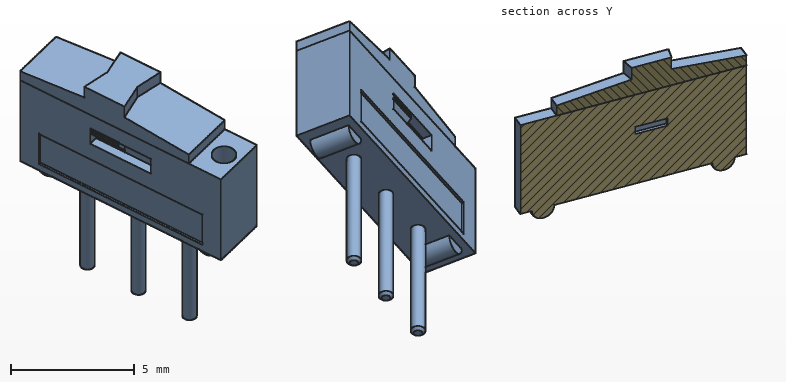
import cadquery as cq

LENGTH = 10.0
THICKNESS = 2.5
HOUSING_HEIGHT = 4.5
TOTAL_HEIGHT = 11.4

PIN_DIAMETER = 0.6
PIN_PITCH = 2.54
PIN_COUNT = 3
PIN_LENGTH = 5.5
PIN_CHAMFER = 0.13

FOOT_RADIUS = 0.5
FOOT_WIDTH = 1.8
FOOT_OFFSET = 3.99

HOLE_DIAMETER = 1.0
HOLE_DEPTH = 1.0
HOLE_X = 4.25

PANEL_LENGTH = 8.15
PANEL_HEIGHT = 1.68
PANEL_BOTTOM = 0.35
PANEL_DEPTH = 0.1

WINDOW_LENGTH = 3.02
WINDOW_HEIGHT = 0.82
WINDOW_DROP = 0.79
WINDOW_DEPTH = 0.41

NOSE_LENGTH = 1.42
NOSE_TOP_DEPTH = 0.05
NOSE_FACE_TOP_DROP = 0.1
NOSE_FACE_BOTTOM_DROP = 0.22
NOSE_LIP_DEPTH = 0.02
NOSE_LIP_DROP = 0.28

RECESS_DEPTH = 0.68
RECESS_ROOF_DROP = 1.01
RECESS_DROP = 1.2

SLIDER_LENGTH = 8.4
SLIDER_END_HEIGHT = 0.5
SLIDER_RIDGE_HEIGHT = 0.9
SLIDER_HEIGHT = TOTAL_HEIGHT - PIN_LENGTH - HOUSING_HEIGHT
KNOB_LENGTH = 2.0
KNOB_NOTCH = 0.25

FRONT_Y = -THICKNESS / 2
WINDOW_TOP = HOUSING_HEIGHT - WINDOW_DROP
SLIDER_LEFT = -LENGTH / 2
SLIDER_CENTER = SLIDER_LEFT + SLIDER_LENGTH / 2


def front_pocket(length, height, depth, bottom):
    """Box cut into the front face, centred along X."""
    return (
        cq.Workplane("XY")
        .box(length, depth, height, centered=(True, False, False))
        .translate((0, FRONT_Y, bottom))
    )


def make_foot(x):
    """Half-round foot with its axis along Y in the plane of the underside."""
    return (
        cq.Workplane("XZ")
        .moveTo(x - FOOT_RADIUS, 0)
        .threePointArc((x, -FOOT_RADIUS), (x + FOOT_RADIUS, 0))
        .close()
        .extrude(FOOT_WIDTH / 2, both=True)
    )


def make_pin(x):
    """Round pin hanging from the underside, chamfered at its tip."""
    return (
        cq.Workplane("XY")
        .center(x, 0)
        .circle(PIN_DIAMETER / 2)
        .extrude(-PIN_LENGTH)
        .faces("<Z")
        .chamfer(PIN_CHAMFER)
    )


def window_profile(points):
    """Prism along the nose from (depth, drop) points measured at the top front edge of the window."""
    return (
        cq.Workplane("YZ", origin=(-WINDOW_LENGTH / 2, 0, 0))
        .polyline([(FRONT_Y + depth, WINDOW_TOP - drop) for depth, drop in points])
        .close()
        .extrude(NOSE_LENGTH)
    )


def make_nose():
    """Snub nose reaching out to the front face, open underneath to the recess."""
    return window_profile([
        (RECESS_DEPTH, 0),
        (NOSE_TOP_DEPTH, 0),
        (0, NOSE_FACE_TOP_DROP),
        (0, NOSE_FACE_BOTTOM_DROP),
        (NOSE_LIP_DEPTH, NOSE_LIP_DROP),
        (RECESS_DEPTH, RECESS_ROOF_DROP),
    ])


def make_recess():
    """Recess below the nose that dips behind the window sill."""
    return window_profile([
        (NOSE_LIP_DEPTH, NOSE_LIP_DROP),
        (RECESS_DEPTH, RECESS_ROOF_DROP),
        (RECESS_DEPTH, RECESS_DROP),
        (WINDOW_DEPTH, RECESS_DROP),
        (WINDOW_DEPTH, WINDOW_HEIGHT),
        (NOSE_LIP_DEPTH, WINDOW_HEIGHT),
    ])


def make_housing():
    """Housing block with its pockets, hole, feet and pins as one solid."""
    housing = cq.Workplane("XY").box(LENGTH, THICKNESS, HOUSING_HEIGHT, centered=(True, True, False))
    housing = housing.cut(front_pocket(PANEL_LENGTH, PANEL_HEIGHT, PANEL_DEPTH, PANEL_BOTTOM))
    housing = housing.cut(front_pocket(WINDOW_LENGTH, WINDOW_HEIGHT, WINDOW_DEPTH, WINDOW_TOP - WINDOW_HEIGHT))
    housing = housing.union(make_nose()).cut(make_recess())

    hole = (
        cq.Workplane("XY", origin=(HOLE_X, 0, HOUSING_HEIGHT))
        .circle(HOLE_DIAMETER / 2)
        .extrude(-HOLE_DEPTH)
    )
    housing = housing.cut(hole)

    for x in (-FOOT_OFFSET, FOOT_OFFSET):
        housing = housing.union(make_foot(x))
    for index in range(PIN_COUNT):
        housing = housing.union(make_pin((index - (PIN_COUNT - 1) / 2) * PIN_PITCH))
    return housing


def make_slider():
    """Slider with a gabled top and a thumb knob notched in a V at both ends."""
    body = (
        cq.Workplane("XZ")
        .moveTo(SLIDER_LEFT, HOUSING_HEIGHT)
        .lineTo(SLIDER_LEFT + SLIDER_LENGTH, HOUSING_HEIGHT)
        .lineTo(SLIDER_LEFT + SLIDER_LENGTH, HOUSING_HEIGHT + SLIDER_END_HEIGHT)
        .lineTo(SLIDER_CENTER, HOUSING_HEIGHT + SLIDER_RIDGE_HEIGHT)
        .lineTo(SLIDER_LEFT, HOUSING_HEIGHT + SLIDER_END_HEIGHT)
        .close()
        .extrude(THICKNESS / 2, both=True)
    )
    half_knob = KNOB_LENGTH / 2
    half_waist = half_knob - KNOB_NOTCH
    knob = (
        cq.Workplane("XY", origin=(SLIDER_CENTER, 0, HOUSING_HEIGHT))
        .polyline([
            (-half_knob, -THICKNESS / 2),
            (half_knob, -THICKNESS / 2),
            (half_waist, 0),
            (half_knob, THICKNESS / 2),
            (-half_knob, THICKNESS / 2),
            (-half_waist, 0),
        ])
        .close()
        .extrude(SLIDER_HEIGHT)
    )
    return body.union(knob)


housing = make_housing()
slider = make_slider()

result = cq.Compound.makeCompound([housing.val(), slider.val()])